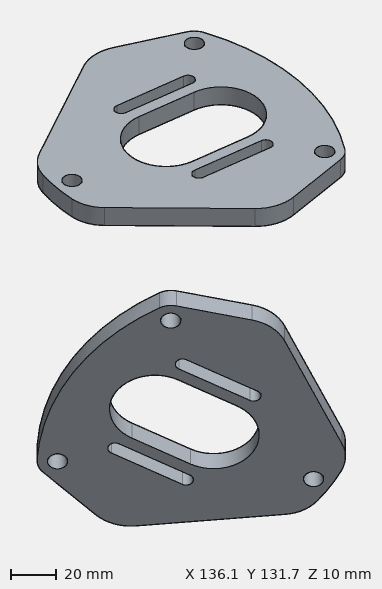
import cadquery as cq

thickness = 10.0
top_y = 57.0
bottom_y = -74.7
shoulder_x, shoulder_y = 56.2, 42.0
hip_x, hip_y = 70.2, -4.8
foot_x, foot_y = 19.6, -72.5
shoulder_radius = 10.0
hip_radius = 21.1
foot_radius = 20.0

window_width = 40.0
window_length = 70.0
slot_width = 6.4
slot_length = 42.7
slot_x = 29.0
hole_diameter = 8.8
top_hole_x, top_hole_y = 48.6, 36.0
bottom_hole_y = -66.1


def round_corners(plate, x, y, radius):
    """Round the mirrored pair of vertical edges at (+-x, y)."""
    reach = 0.7
    for side in (-1, 1):
        corner = cq.selectors.BoxSelector(
            (side * x - reach, y - reach, -thickness),
            (side * x + reach, y + reach, 2 * thickness),
        )
        plate = plate.edges("|Z").edges(corner).fillet(radius)
    return plate


def make_plate():
    """Plate with a bowed crown, tapered sides and a slightly bowed foot."""
    plate = (
        cq.Workplane("XY")
        .moveTo(-shoulder_x, shoulder_y)
        .threePointArc((0, top_y), (shoulder_x, shoulder_y))
        .lineTo(hip_x, hip_y)
        .lineTo(foot_x, foot_y)
        .threePointArc((0, bottom_y), (-foot_x, foot_y))
        .lineTo(-hip_x, hip_y)
        .close()
        .extrude(thickness)
    )
    plate = round_corners(plate, shoulder_x, shoulder_y, shoulder_radius)
    plate = round_corners(plate, hip_x, hip_y, hip_radius)
    return round_corners(plate, foot_x, foot_y, foot_radius)


def upright_slots(points, length, width):
    """Cutters for round-ended slots running along Y."""
    return cq.Workplane("XY").pushPoints(points).slot2D(length, width, 90).extrude(thickness)


window = upright_slots([(0, 0)], window_length, window_width)
side_slots = upright_slots([(-slot_x, 0), (slot_x, 0)], slot_length, slot_width)
hole_centres = [(-top_hole_x, top_hole_y), (top_hole_x, top_hole_y), (0, bottom_hole_y)]
holes = cq.Workplane("XY").pushPoints(hole_centres).circle(hole_diameter / 2).extrude(thickness)

result = make_plate().cut(window).cut(side_slots).cut(holes)